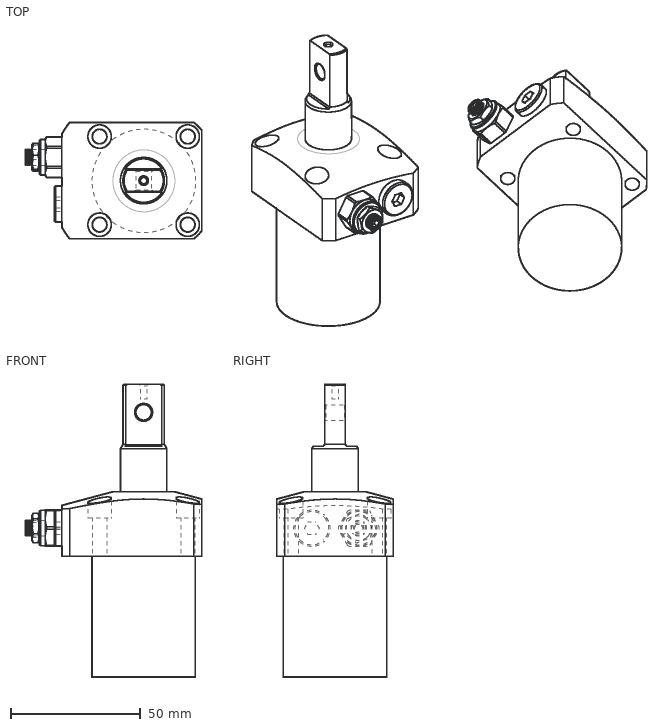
import cadquery as cq
import math


total_height = 113.0
barrel_radius = 20.0
flange_bottom = 46.5
flange_top = 71.5
flange_left = -31.5
flange_right = 22.5
flange_half_depth = 22.5
left_corner_radius = 36.4
right_corner_radius = 29.7
cone_flat_radius = 12.0
cone_slope = math.radians(15)
bolt_spacing = 34.0
bolt_offset = bolt_spacing / 2
bolt_diameter = 5.5
head_diameter = 9.0
head_seat = 61.5

shaft_diameter = 18.0
shaft_radius = shaft_diameter / 2
tongue_radius = 8.0
tongue_thickness = 8.0
shaft_top = 88.1
shoulder_height = 89.2
shoulder_cone = math.radians(30)
tongue_root_chamfer = 0.6
tongue_end_chamfer = 0.5
cross_hole_height = 102.2
cross_hole_diameter = 6.0
cross_hole_chamfer = 0.5
end_hole_diameter = 2.5
end_hole_depth = 5.6
end_hole_chamfer = 0.6

port_offset = 9.0
port_height = 57.5

plug_radius = 7.0
plug_length = 3.0
plug_chamfer = 0.6
plug_socket = 5.0
plug_socket_depth = 3.4

hex_flats = 14.0
hex_corner_diameter = 15.7
hex_length = 6.4
hex_chamfer_radius = 7.0
washer_radius = 6.9
washer_thickness = 2.3
washer_chamfer = 0.5
nut_flats = 10.1
nut_thickness = 2.9
nut_chamfer_radius = 4.7
nut_turn = 38
hex_chamfer_slope = math.radians(30)
screw_radius = 3.0
screw_tip = -45.8
screw_end_chamfer = 0.3
screw_socket = 3.0
screw_socket_depth = 2.7
screw_socket_rim = 2.0
thread_pitch = 0.7
thread_depth = 0.3
thread_count = 3


def port_plane(distance, side):
    """Plane facing -X at a distance out from the flange, centred on the port on the given Y side."""
    origin = (flange_left - distance, side * port_offset, port_height)
    return cq.Plane(origin=origin, xDir=(0, -1, 0), normal=(-1, 0, 0))


def hexagon_corners(flats):
    """Diameter across the corners of a hexagon."""
    return flats / math.cos(math.radians(30))


def turned(points, plane):
    """Solid turned about the plane's normal from (radius, height) points."""
    profile = cq.Workplane("XZ").polyline(points).close()
    solid = profile.revolve(360, (0, 0, 0), (0, 1, 0)).val()
    return cq.Workplane("XY").add(solid.moved(plane.location))


def flange_block():
    """Block whose corners are rounded by circles about the rod axis."""
    width = flange_right - flange_left
    block = (
        cq.Workplane("XY", origin=(0, 0, flange_bottom))
        .center((flange_left + flange_right) / 2, 0)
        .rect(width, 2 * flange_half_depth)
        .extrude(flange_top - flange_bottom)
    )
    corner_limits = (
        cq.Workplane("XY")
        .moveTo(0, left_corner_radius)
        .threePointArc((-left_corner_radius, 0), (0, -left_corner_radius))
        .lineTo(0, -right_corner_radius)
        .threePointArc((right_corner_radius, 0), (0, right_corner_radius))
        .close()
        .extrude(flange_top)
    )
    return block.intersect(corner_limits)


def make_housing():
    cone_drop = (left_corner_radius - cone_flat_radius) * math.tan(cone_slope)
    cone_envelope = turned(
        [
            (0, 0),
            (left_corner_radius, 0),
            (left_corner_radius, flange_top - cone_drop),
            (cone_flat_radius, flange_top),
            (0, flange_top),
        ],
        cq.Plane.XY(),
    )
    flange = flange_block().intersect(cone_envelope)
    barrel = cq.Workplane("XY").circle(barrel_radius).extrude(flange_bottom)
    bolt_places = [(x, y) for x in (-bolt_offset, bolt_offset) for y in (-bolt_offset, bolt_offset)]
    bolts = cq.Workplane("XY").pushPoints(bolt_places).circle(bolt_diameter / 2).extrude(flange_top)
    heads = (
        cq.Workplane("XY", origin=(0, 0, head_seat))
        .pushPoints(bolt_places)
        .circle(head_diameter / 2)
        .extrude(flange_top - head_seat)
    )
    return flange.union(barrel).cut(bolts).cut(heads)


def make_rod():
    cone_height = (shaft_radius - tongue_radius) / math.tan(shoulder_cone)
    rod = turned(
        [
            (0, flange_top),
            (shaft_radius, flange_top),
            (shaft_radius, shaft_top),
            (tongue_radius, shaft_top + cone_height),
            (tongue_radius, total_height - tongue_end_chamfer),
            (tongue_radius - tongue_end_chamfer, total_height),
            (0, total_height),
        ],
        cq.Plane.XY(),
    )
    face = tongue_thickness / 2
    cross_rim = cross_hole_diameter + 2 * cross_hole_chamfer
    for side in (-1, 1):
        flat = (
            cq.Workplane("YZ")
            .polyline(
                [
                    (side * face, total_height),
                    (side * face, shoulder_height + tongue_root_chamfer),
                    (side * (face + tongue_root_chamfer), shoulder_height),
                    (side * shaft_radius, shoulder_height),
                    (side * shaft_radius, total_height),
                ]
            )
            .close()
            .extrude(shaft_radius, both=True)
        )
        outward = cq.Plane(origin=(0, 0, cross_hole_height), xDir=(1, 0, 0), normal=(0, side, 0))
        half_hole = countersunk_drill(outward, face, face, cross_hole_diameter, cross_rim)
        rod = rod.cut(flat).cut(half_hole)
    end_rim = end_hole_diameter + 2 * end_hole_chamfer
    return rod.cut(countersunk_drill(cq.Plane.XY(), total_height, end_hole_depth, end_hole_diameter, end_rim))


def countersunk_drill(plane, surface, depth, diameter, rim):
    """Cutter along the plane's normal, entering at height surface with a 45 degree countersink."""
    radius = diameter / 2
    return turned(
        [
            (0, surface - depth),
            (radius, surface - depth),
            (radius, surface - (rim / 2 - radius)),
            (rim / 2, surface),
            (0, surface),
        ],
        plane,
    )


def make_plug():
    return (
        cq.Workplane(port_plane(0, -1))
        .circle(plug_radius)
        .extrude(plug_length)
        .faces("<X")
        .chamfer(plug_chamfer)
        .cut(hex_socket(port_plane(plug_length, -1), plug_socket, plug_socket_depth))
    )


def hex_socket(plane, flats, depth):
    return cq.Workplane(plane).polygon(6, hexagon_corners(flats)).extrude(-depth)


def hexagon_end_cone(plane, height, end_radius):
    """Cone that leaves the given radius at height and widens inward, for chamfering hexagon corners."""
    base_radius = end_radius + height / math.tan(hex_chamfer_slope)
    return turned([(0, 0), (base_radius, 0), (end_radius, height), (0, height)], plane)


def make_valve_body():
    plane = port_plane(0, 1)
    turned_corners = cq.Workplane(plane).circle(hex_corner_diameter / 2).extrude(hex_length)
    prism = cq.Workplane(plane).polygon(6, hexagon_corners(hex_flats)).extrude(hex_length)
    return prism.intersect(turned_corners).intersect(hexagon_end_cone(plane, hex_length, hex_chamfer_radius))


def make_washer():
    return (
        cq.Workplane(port_plane(hex_length, 1))
        .circle(washer_radius)
        .extrude(washer_thickness)
        .faces("<X")
        .chamfer(washer_chamfer)
        .cut(cq.Workplane(port_plane(hex_length, 1)).circle(screw_radius).extrude(washer_thickness))
    )


def make_nut():
    plane = port_plane(hex_length + washer_thickness, 1)
    prism = (
        cq.Workplane(plane.rotated((0, 0, nut_turn)))
        .polygon(6, hexagon_corners(nut_flats))
        .circle(screw_radius)
        .extrude(nut_thickness)
    )
    inner_plane = cq.Plane(plane.toWorldCoords((0, 0, nut_thickness)), plane.xDir, -plane.zDir)
    for end_plane in (plane, inner_plane):
        prism = prism.intersect(hexagon_end_cone(end_plane, nut_thickness, nut_chamfer_radius))
    return prism


def make_screw():
    """Screw through the nut and washer to the valve body, with thread rings at its tip."""
    plane = port_plane(hex_length, 1)
    length = flange_left - hex_length - screw_tip
    root = screw_radius - thread_depth
    points = [(0, length), (screw_radius - screw_end_chamfer, length)]
    crest = length - screw_end_chamfer
    for ridge in range(thread_count):
        groove = crest - ridge * thread_pitch
        points += [(screw_radius, groove), (root, groove - thread_pitch / 2)]
    points += [(screw_radius, crest - thread_count * thread_pitch), (screw_radius, 0), (0, 0)]
    screw = turned(points, plane)
    tip_plane = port_plane(hex_length + length, 1)
    rim_cone = turned([(0, 0), (screw_socket_rim, 0), (0, -screw_socket_rim)], tip_plane)
    return screw.cut(hex_socket(tip_plane, screw_socket, screw_socket_depth)).cut(rim_cone)


housing = make_housing()
rod = make_rod()
plug = make_plug()
valve_body = make_valve_body()
washer = make_washer()
nut = make_nut()
screw = make_screw()

result = cq.Compound.makeCompound(
    [
        housing.val(),
        rod.val(),
        plug.val(),
        valve_body.val(),
        washer.val(),
        nut.val(),
        screw.val(),
    ]
)